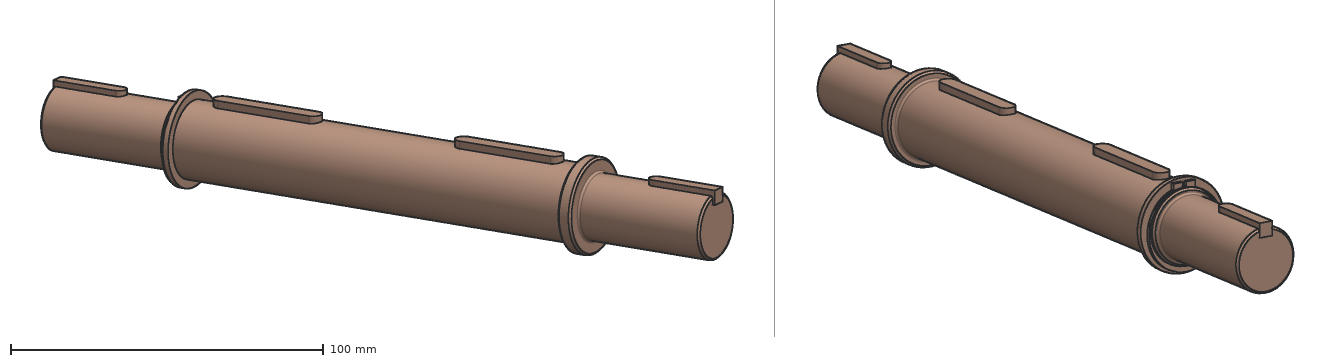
import cadquery as cq
import math

OVERALL_LENGTH = 246.0
RIGHT_KEY_OVERHANG = 0.7
LEFT_END = -OVERALL_LENGTH / 2
RIGHT_KEY_END = OVERALL_LENGTH / 2
SHAFT_END = RIGHT_KEY_END - RIGHT_KEY_OVERHANG

JOURNAL_RADIUS = 11.0
BODY_RADIUS = 13.0
COLLAR_RADIUS = 16.0
BODY_START = -77.3
COLLAR_START = 72.3
COLLAR_WIDTH = 5.0
COLLAR_END = COLLAR_START + COLLAR_WIDTH
EDGE_CHAMFER = 0.7
ROOT_FILLET = 0.7

GROOVE_RADIUS = 12.0
CLIP_START = -75.5
CLIP_WIDTH = 1.2
CLIP_RADIUS = 14.0
CLIP_OFFSET_Y = -0.5
CLIP_OFFSET_Z = -1.2
CLIP_GAP = 1.5
EAR_WIDTH = 3.5
EAR_TOP = 14.8

SPACER_START = CLIP_START + CLIP_WIDTH
SPACER_WIDTH = 2.0
SPACER_RADIUS = COLLAR_RADIUS

END_KEY_LENGTH = 25.5
END_KEY_WIDTH = 5.0
END_KEY_HEIGHT = 5.0
END_KEY_TOP = 12.8

BODY_KEY_STARTS = (-64.5, 25.3)
BODY_KEY_LENGTH = 39.5
BODY_KEY_WIDTH = 6.0
BODY_KEY_HEIGHT = 6.0
BODY_KEY_TOP = 15.3


def disc(start, width, radius):
    """Solid cylinder along X."""
    return cq.Workplane("YZ", origin=(start, 0, 0)).circle(radius).extrude(width)


def tube(start, width, inner_radius, outer_radius):
    """Hollow cylinder along X."""
    return disc(start, width, outer_radius).cut(disc(start, width, inner_radius))


def make_shaft_blank():
    """Revolved shaft with chamfered outer edges and filleted roots at its shoulders."""
    chamfer = EDGE_CHAMFER
    fillet = ROOT_FILLET
    arc_inset = fillet * (1 - math.sqrt(0.5))
    profile = (
        cq.Workplane("XZ")
        .moveTo(LEFT_END, 0)
        .lineTo(LEFT_END, JOURNAL_RADIUS - chamfer)
        .lineTo(LEFT_END + chamfer, JOURNAL_RADIUS)
        .lineTo(BODY_START - fillet, JOURNAL_RADIUS)
        .threePointArc(
            (BODY_START - arc_inset, JOURNAL_RADIUS + arc_inset),
            (BODY_START, JOURNAL_RADIUS + fillet),
        )
        .lineTo(BODY_START, BODY_RADIUS - chamfer)
        .lineTo(BODY_START + chamfer, BODY_RADIUS)
        .lineTo(COLLAR_START - fillet, BODY_RADIUS)
        .threePointArc(
            (COLLAR_START - arc_inset, BODY_RADIUS + arc_inset),
            (COLLAR_START, BODY_RADIUS + fillet),
        )
        .lineTo(COLLAR_START, COLLAR_RADIUS - chamfer)
        .lineTo(COLLAR_START + chamfer, COLLAR_RADIUS)
        .lineTo(COLLAR_END - chamfer, COLLAR_RADIUS)
        .lineTo(COLLAR_END, COLLAR_RADIUS - chamfer)
        .lineTo(COLLAR_END, JOURNAL_RADIUS + fillet)
        .threePointArc(
            (COLLAR_END + arc_inset, JOURNAL_RADIUS + arc_inset),
            (COLLAR_END + fillet, JOURNAL_RADIUS),
        )
        .lineTo(SHAFT_END - chamfer, JOURNAL_RADIUS)
        .lineTo(SHAFT_END, JOURNAL_RADIUS - chamfer)
        .lineTo(SHAFT_END, 0)
        .close()
    )
    return profile.revolve(360, (0, 0, 0), (1, 0, 0))


def make_shaft(keys):
    """Shaft with the clip groove and a keyseat for each key."""
    shaft = make_shaft_blank().cut(tube(CLIP_START, CLIP_WIDTH, GROOVE_RADIUS, BODY_RADIUS))
    for key in keys:
        shaft = shaft.cut(key)
    return shaft


def make_clip():
    """Eccentric retaining clip with two ears beside its gap."""
    ring = (
        cq.Workplane("YZ", origin=(CLIP_START, CLIP_OFFSET_Y, CLIP_OFFSET_Z))
        .circle(CLIP_RADIUS)
        .extrude(CLIP_WIDTH)
    )
    clip_plane = cq.Workplane("XY", origin=(CLIP_START, 0, 0))
    centered_in_y = (False, True, False)
    ears = clip_plane.box(CLIP_WIDTH, CLIP_GAP + 2 * EAR_WIDTH, EAR_TOP, centered=centered_in_y)
    gap = clip_plane.box(CLIP_WIDTH, CLIP_GAP, EAR_TOP, centered=centered_in_y)
    bore = disc(CLIP_START, CLIP_WIDTH, GROOVE_RADIUS)
    return ring.union(ears).cut(gap).cut(bore)


def make_spacer():
    """Plain ring around the shaft body."""
    return tube(SPACER_START, SPACER_WIDTH, BODY_RADIUS, SPACER_RADIUS)


def make_key(start, length, width, height, top, round_left=True, round_right=True):
    """Flat key along X, with each end either round or square."""
    radius = width / 2
    end = start + length
    outline = cq.Workplane("XY", origin=(0, 0, top - height))
    outline = outline.moveTo(start + radius, -radius).lineTo(end - radius, -radius)
    if round_right:
        outline = outline.threePointArc((end, 0), (end - radius, radius))
    else:
        outline = outline.lineTo(end, -radius).lineTo(end, radius)
    outline = outline.lineTo(start + radius, radius)
    if round_left:
        outline = outline.threePointArc((start, 0), (start + radius, -radius))
    else:
        outline = outline.lineTo(start, radius).lineTo(start, -radius)
    return outline.close().extrude(height)


def make_end_keys():
    """Left key flush with the shaft face, right key overhanging it."""
    size = (END_KEY_LENGTH, END_KEY_WIDTH, END_KEY_HEIGHT, END_KEY_TOP)
    left_key = make_key(LEFT_END, *size, round_left=False)
    right_key = make_key(RIGHT_KEY_END - END_KEY_LENGTH, *size, round_right=False)
    return [left_key, right_key]


def make_body_keys():
    """Two equal round-ended keys in line along the shaft body."""
    size = (BODY_KEY_LENGTH, BODY_KEY_WIDTH, BODY_KEY_HEIGHT, BODY_KEY_TOP)
    return [make_key(start, *size) for start in BODY_KEY_STARTS]


keys = make_end_keys() + make_body_keys()
shaft = make_shaft(keys)
clip = make_clip()
spacer = make_spacer()

result = cq.Compound.makeCompound([shaft.val(), clip.val(), spacer.val(), *[key.val() for key in keys]])